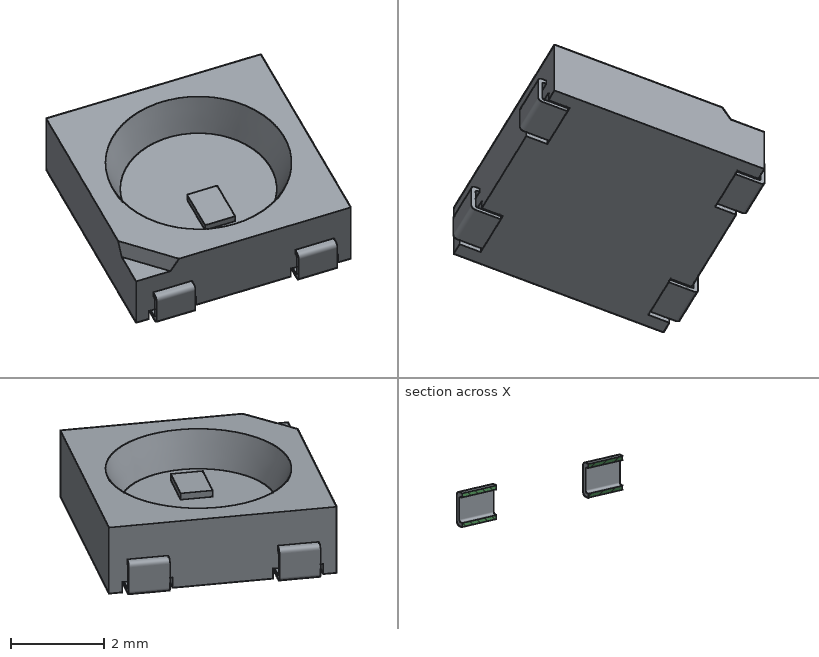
import cadquery as cq


overall_length = 5.4

housing_side = 5.0
housing_height = 1.57
half_side = housing_side / 2

cup_top_radius = 2.0
cup_floor_radius = 1.68
cup_depth = 0.8
cup_floor_z = housing_height - cup_depth

mark_top_leg = 1.0
mark_bottom_leg = 0.8
mark_depth = 0.3

chip_length = 1.0
chip_width = 0.7
chip_thickness = 0.15
chip_start_x = 0.2

lead_width = 0.9
lead_height = 0.78
lead_thickness = 0.1
lead_reach = (overall_length - housing_side) / 2
lead_spacing = 3.305
outer_bend_radius = lead_thickness
inner_bend_radius = 0.05

notch_width = 1.1
notch_height = 0.245
notch_depth = 0.5

lead_places = [(y, turn) for turn in (0, 180) for y in (-lead_spacing / 2, lead_spacing / 2)]


def place_at_lead(shape, y, turn):
    """Move a shape made on the +X side at Y = 0 to one lead position."""
    return shape.translate((0, y, 0)).rotate((0, 0, 0), (0, 0, 1), turn)


def make_cup():
    """Cone-shaped cavity that narrows from the top face to a flat floor."""
    return (
        cq.Workplane("XY", origin=(0, 0, cup_floor_z))
        .circle(cup_floor_radius)
        .workplane(offset=cup_depth)
        .circle(cup_top_radius)
        .loft()
    )


def make_polarity_mark():
    """Triangular corner cut whose diagonal wall slopes outward to the top."""

    def corner_triangle(leg):
        return [(half_side, -half_side), (half_side - leg, -half_side), (half_side, -half_side + leg)]

    return (
        cq.Workplane("XY", origin=(0, 0, housing_height - mark_depth))
        .polyline(corner_triangle(mark_bottom_leg))
        .close()
        .workplane(offset=mark_depth)
        .polyline(corner_triangle(mark_top_leg))
        .close()
        .loft(ruled=True)
    )


def make_notch():
    """Recess at the foot of the +X wall, open to the side and underside."""
    return (
        cq.Workplane("XY")
        .box(notch_depth, notch_width, notch_height, centered=(False, True, False))
        .translate((half_side - notch_depth, 0, 0))
    )


def make_housing():
    block = cq.Workplane("XY").box(housing_side, housing_side, housing_height, centered=(True, True, False))
    block = block.cut(make_cup()).cut(make_polarity_mark())
    for y, turn in lead_places:
        block = block.cut(place_at_lead(make_notch(), y, turn))
    return block


def make_chip():
    return (
        cq.Workplane("XY")
        .box(chip_length, chip_width, chip_thickness, centered=(False, True, False))
        .translate((chip_start_x, 0, cup_floor_z))
    )


def make_lead():
    """C-shaped strip: an arm on the wall, an outer leg and a foot to the notch's back wall."""
    wall_x = half_side
    foot_end_x = half_side - notch_depth
    outer_x = half_side + lead_reach
    inner_x = outer_x - lead_thickness
    foot_top_z = lead_thickness
    arm_bottom_z = lead_height - lead_thickness
    return (
        cq.Workplane("XZ")
        .moveTo(foot_end_x, 0)
        .lineTo(outer_x - outer_bend_radius, 0)
        .tangentArcPoint((outer_x, outer_bend_radius), relative=False)
        .lineTo(outer_x, lead_height - outer_bend_radius)
        .tangentArcPoint((outer_x - outer_bend_radius, lead_height), relative=False)
        .lineTo(wall_x, lead_height)
        .lineTo(wall_x, arm_bottom_z)
        .lineTo(inner_x - inner_bend_radius, arm_bottom_z)
        .tangentArcPoint((inner_x, arm_bottom_z - inner_bend_radius), relative=False)
        .lineTo(inner_x, foot_top_z + inner_bend_radius)
        .tangentArcPoint((inner_x - inner_bend_radius, foot_top_z), relative=False)
        .lineTo(foot_end_x, foot_top_z)
        .close()
        .extrude(lead_width / 2, both=True)
    )


housing = make_housing()
chip = make_chip()
leads = [place_at_lead(make_lead(), y, turn) for y, turn in lead_places]

result = cq.Compound.makeCompound([housing.val(), chip.val(), *[lead.val() for lead in leads]])